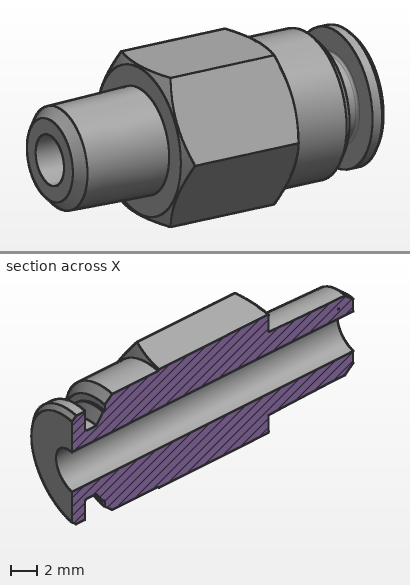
import cadquery as cq
import math

total_length = 26.62
spigot_length = 7.99
hex_length = 10.5
hex_top = spigot_length + hex_length
body_top = 23.53
sleeve_rim = 23.7
neck_bottom = 24.33
collar_thickness = 1.25
collar_bottom = total_length - collar_thickness

across_flats = 12.0
bore_radius = 2.0
spigot_root_radius = 4.23
spigot_end_radius = 4.05
body_radius = 5.88
sleeve_radius = 4.55
neck_radius = 3.5
collar_radius = 5.5

spigot_chamfer = 0.8
body_chamfer = 0.72
collar_chamfer = 0.4
hex_chamfer_angle = 30.0
neck_fillet = 0.2


def revolve_profile(points):
    """Turn a closed (radius, y) outline around the Y axis."""
    return cq.Workplane("XY").polyline(points).close().revolve(360, (0, 0, 0), (0, 1, 0))


def make_hexagon():
    """Hexagonal wrench section with both ends turned to a cone at the corners."""
    corner_radius = across_flats / math.sqrt(3)
    bevel_height = (corner_radius - body_radius) * math.tan(math.radians(hex_chamfer_angle))
    prism = (
        cq.Workplane("XZ", origin=(0, spigot_length, 0))
        .polygon(6, 2 * corner_radius)
        .extrude(-hex_length)
    )
    envelope = revolve_profile([
        (0, spigot_length),
        (body_radius, spigot_length),
        (corner_radius, spigot_length + bevel_height),
        (corner_radius, hex_top - bevel_height),
        (body_radius, hex_top),
        (0, hex_top),
    ])
    return prism.intersect(envelope)


def make_turned_body():
    """Tapered spigot, round body, release sleeve and collar as one turned shape."""
    turned = revolve_profile([
        (0, 0),
        (spigot_end_radius - spigot_chamfer, 0),
        (spigot_end_radius, spigot_chamfer),
        (spigot_root_radius, spigot_length),
        (body_radius, spigot_length),
        (body_radius, body_top - body_chamfer),
        (body_radius - body_chamfer, body_top),
        (sleeve_radius, body_top),
        (sleeve_radius, sleeve_rim),
        (neck_radius, neck_bottom),
        (neck_radius, collar_bottom),
        (collar_radius, collar_bottom),
        (collar_radius, total_length - collar_chamfer),
        (collar_radius - collar_chamfer, total_length),
        (0, total_length),
    ])
    box_half = neck_radius + neck_fillet
    corner_box = cq.selectors.BoxSelector(
        (-box_half, collar_bottom - neck_fillet, -box_half),
        (box_half, collar_bottom + neck_fillet, box_half),
        boundingbox=True,
    )
    return turned.edges("%CIRCLE").edges(corner_box).fillet(neck_fillet)


def make_bore():
    """Straight through bore."""
    return cq.Workplane("XZ").circle(bore_radius).extrude(-total_length)


result = make_turned_body().union(make_hexagon()).cut(make_bore())